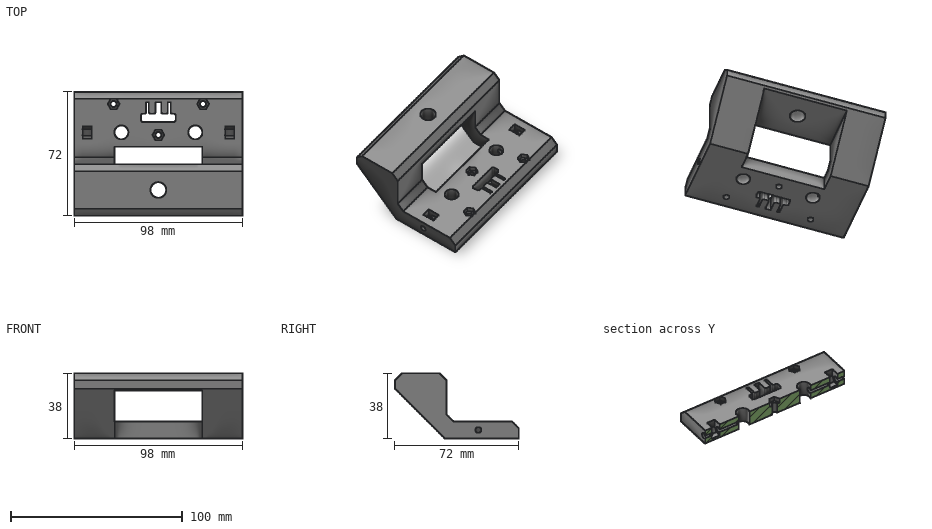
import cadquery as cq
import math

length = 98.0
depth = 72.0
height = 38.0
base_thickness = 10.0
chamfer = 4.0
back_y = depth / 2
front_y = -depth / 2
step_y = -6.0
slope_top_z = 29.0

window_width = 51.0
window_top_z = 27.8
window_back_y = 4.0

bar_hole_diameter = 9.0
bar_hole_y = -21.0
rod_hole_diameter = 8.0
rod_hole_x = 21.5
rod_hole_y = 12.5
screw_diameter = 3.4

nut_flats = 6.0
nut_recess_depth = 3.0
screw_points = [(-26.0, 29.0), (26.0, 29.0), (0.0, 11.0)]

clamp_z = base_thickness / 2
trap_corners = 7.3
trap_width = 5.2
trap_x = 41.4

comb_width = 20.0
comb_front_y = 18.6
comb_body_depth = 4.7
comb_end_y = 29.9
centre_slot_width = 3.3
side_slot_width = 1.5
side_slot_x = 6.35
comb_radius = 1.0


def vertical_hole(x, y, diameter):
    return cq.Workplane("XY").center(x, y).circle(diameter / 2).extrude(height)


def box_between(x_range, y_range, z_range):
    """Box spanning the given (low, high) ranges."""
    sizes = [high - low for low, high in (x_range, y_range, z_range)]
    corner = (x_range[0], y_range[0], z_range[0])
    return cq.Workplane("XY").box(*sizes, centered=False).translate(corner)


def make_body():
    """Side profile in the YZ plane, extruded along X."""
    profile = [
        (back_y, 0),
        (back_y, base_thickness - chamfer),
        (back_y - chamfer, base_thickness),
        (step_y + chamfer, base_thickness),
        (step_y, base_thickness + chamfer),
        (step_y, height - chamfer),
        (step_y - chamfer, height),
        (front_y + chamfer, height),
        (front_y, height - chamfer),
        (front_y, slope_top_z),
        (front_y + slope_top_z, 0),
    ]
    return cq.Workplane("YZ").polyline(profile).close().extrude(length / 2, both=True)


def make_window():
    half_width = window_width / 2
    return box_between((-half_width, half_width), (front_y, window_back_y), (0, window_top_z))


def make_nut_screw(x, y):
    """Through hole with a hexagonal recess sunk from the top of the base."""
    nut_corners = nut_flats / math.cos(math.radians(30))
    recess = (
        cq.Workplane("XY", origin=(x, y, base_thickness - nut_recess_depth))
        .polygon(6, nut_corners)
        .extrude(nut_recess_depth)
    )
    return vertical_hole(x, y, screw_diameter).union(recess)


def make_clamp(side):
    """Screw hole from one end to its rod hole, crossed by a nut trap."""
    hole = (
        cq.Workplane("YZ", origin=(side * rod_hole_x, rod_hole_y, clamp_z))
        .circle(screw_diameter / 2)
        .extrude(side * (length / 2 - rod_hole_x))
    )
    trap_left = side * trap_x - trap_width / 2
    nut = (
        cq.Workplane("YZ", origin=(trap_left, rod_hole_y, clamp_z))
        .polygon(6, trap_corners)
        .extrude(trap_width)
    )
    entry = box_between(
        (trap_left, trap_left + trap_width),
        (rod_hole_y - trap_corners / 2, rod_hole_y + trap_corners / 2),
        (clamp_z, base_thickness),
    )
    return hole.union(nut).union(entry)


def make_comb():
    """Wide slot with three narrow fingers reaching towards the back."""
    body_end_y = comb_front_y + comb_body_depth
    half_width = comb_width / 2
    z_range = (0, base_thickness)
    comb = box_between((-half_width, half_width), (comb_front_y, body_end_y), z_range)
    fingers = [
        (-side_slot_x, side_slot_width),
        (0, centre_slot_width),
        (side_slot_x, side_slot_width),
    ]
    for x, width in fingers:
        x_range = (x - width / 2, x + width / 2)
        comb = comb.union(box_between(x_range, (comb_front_y, comb_end_y), z_range))
    return comb.edges("|Z and (not >Y)").fillet(comb_radius)


result = make_body().cut(make_window()).cut(make_comb())
result = result.cut(vertical_hole(0, bar_hole_y, bar_hole_diameter))
for screw_x, screw_y in screw_points:
    result = result.cut(make_nut_screw(screw_x, screw_y))
for side in (-1, 1):
    result = result.cut(vertical_hole(side * rod_hole_x, rod_hole_y, rod_hole_diameter))
    result = result.cut(make_clamp(side))